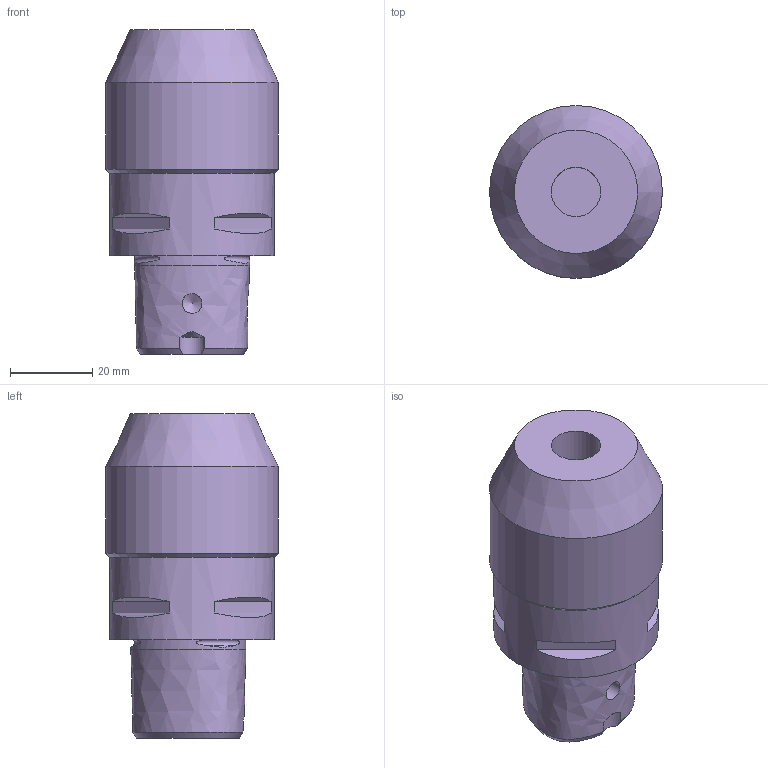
import cadquery as cq
import math


head_radius = 21.0
nose_radius = 15.0
nose_half_angle = 25.0
head_top = 55.0
collar_radius = 20.0
collar_height = 20.0
bore_diameter = 12.0
bore_depth = 45.0

groove_count = 4
groove_center_height = 7.9
groove_floor_height = 2.8
groove_mouth_height = 5.0
groove_floor_distance = 17.5

shank_length = 24.0
neck_length = 2.3
shank_width = 28.0
lobe_eccentricity = 0.9
taper_ratio = 1 / 20
tip_chamfer_height = 1.5
tip_chamfer_depth = 1.0
outline_points = 48

undercut_floor_radius = 13.95
undercut_edge_radius = 14.3
undercut_height = 1.3
undercut_outer_radius = 16.0
undercut_runout_angle = 50.0

dimple_diameter = 4.8
dimple_depth = 5.0
dimple_clearance = 1.0
dimple_height = -11.6
keyway_radius = 3.2
keyway_axis_distance = 13.7
keyway_length = 4.2
drill_point_half_angle = 59.0


def make_head():
    """Turned body above the flange face, with its blind bore."""
    step = head_radius - collar_radius
    nose_length = (head_radius - nose_radius) / math.tan(math.radians(nose_half_angle))
    body = (
        cq.Workplane("XZ")
        .moveTo(0, 0)
        .lineTo(collar_radius, 0)
        .lineTo(collar_radius, collar_height)
        .lineTo(head_radius, collar_height + step)
        .lineTo(head_radius, head_top - nose_length)
        .lineTo(nose_radius, head_top)
        .lineTo(0, head_top)
        .close()
        .revolve(360, (0, 0, 0), (0, 1, 0))
    )
    bore = cq.Workplane("XY", origin=(0, 0, head_top)).circle(bore_diameter / 2).extrude(-bore_depth)
    return body.cut(bore)


def make_gripper_groove(angle):
    """Straight groove with flared walls, cut across the collar at the given angle."""
    depth = head_radius - groove_floor_distance
    flare = (groove_mouth_height - groove_floor_height) / 2 / (collar_radius - groove_floor_distance)
    inner = groove_floor_height / 2
    outer = inner + flare * depth
    return (
        cq.Workplane("XZ")
        .polyline(
            [
                (groove_floor_distance, -inner),
                (head_radius, -outer),
                (head_radius, outer),
                (groove_floor_distance, inner),
            ]
        )
        .close()
        .extrude(head_radius, both=True)
        .translate((0, 0, groove_center_height))
        .rotate((0, 0, 0), (0, 0, 1), angle)
    )


def lobed_outline(width, height):
    """Constant-width curve with three lobes, one of them pointing to +Y."""

    def point(index):
        turn = 2 * math.pi * index / outline_points
        along = (
            width / 2 * math.cos(turn)
            - 2 * lobe_eccentricity * math.cos(2 * turn)
            + lobe_eccentricity * math.cos(4 * turn)
        )
        across = (
            width / 2 * math.sin(turn)
            + 2 * lobe_eccentricity * math.sin(2 * turn)
            + lobe_eccentricity * math.sin(4 * turn)
        )
        return cq.Vector(across, -along, height)

    points = [point(index) for index in range(outline_points)]
    return cq.Wire.assembleEdges([cq.Edge.makeSpline(points, periodic=True)])


def make_shank():
    """Straight neck, taper and tip chamfer, each lofted between lobed outlines."""
    chamfer_top = tip_chamfer_height - shank_length
    taper_length = -neck_length - chamfer_top
    taper_end_width = shank_width - taper_ratio * taper_length
    sections = [
        lobed_outline(shank_width, 0),
        lobed_outline(shank_width, -neck_length),
        lobed_outline(taper_end_width, chamfer_top),
        lobed_outline(taper_end_width - 2 * tip_chamfer_depth, -shank_length),
    ]
    shank = cq.Workplane("XY")
    for upper, lower in zip(sections, sections[1:]):
        shank = shank.add(cq.Solid.makeLoft([upper, lower], True))
    return shank.combine()


def make_lobe_undercut():
    """Ring below the flange face: a rounded groove with a conical runout through the lobe tips."""
    runout_radial = undercut_outer_radius - undercut_edge_radius
    runout_height = runout_radial / math.tan(math.radians(undercut_runout_angle))
    return (
        cq.Workplane("XZ")
        .moveTo(undercut_edge_radius, 0)
        .threePointArc(
            (undercut_floor_radius, -undercut_height / 2),
            (undercut_edge_radius, -undercut_height),
        )
        .lineTo(undercut_outer_radius, -undercut_height - runout_height)
        .lineTo(undercut_outer_radius, 0)
        .close()
        .revolve(360, (0, 0, 0), (0, 1, 0))
    )


def make_drill(radius, straight_length):
    """Drill body rising along Z from the origin, ending in a conical point."""
    point_height = radius / math.tan(math.radians(drill_point_half_angle))
    return (
        cq.Workplane("XZ")
        .polyline(
            [
                (0, 0),
                (radius, 0),
                (radius, straight_length),
                (0, straight_length + point_height),
            ]
        )
        .close()
        .revolve(360, (0, 0, 0), (0, 1, 0))
    )


def make_dimple():
    """Drilled dimple entering the flat side of the shank along +Y."""
    width_at_dimple = shank_width - taper_ratio * (-neck_length - dimple_height)
    face_distance = width_at_dimple / 2 - lobe_eccentricity
    drill = make_drill(dimple_diameter / 2, dimple_clearance + dimple_depth)
    start_distance = face_distance + dimple_clearance
    return drill.rotate((0, 0, 0), (1, 0, 0), -90).translate((0, -start_distance, dimple_height))


def make_keyway():
    """Drilled keyway at the shank tip, parallel to the axis."""
    return make_drill(keyway_radius, keyway_length).translate((0, -keyway_axis_distance, -shank_length))


head = make_head()
for groove in range(groove_count):
    head = head.cut(make_gripper_groove((groove + 0.5) * 360 / groove_count))

shank = make_shank()
for cutter in (make_lobe_undercut(), make_dimple(), make_keyway()):
    shank = shank.cut(cutter)

result = head.union(shank)